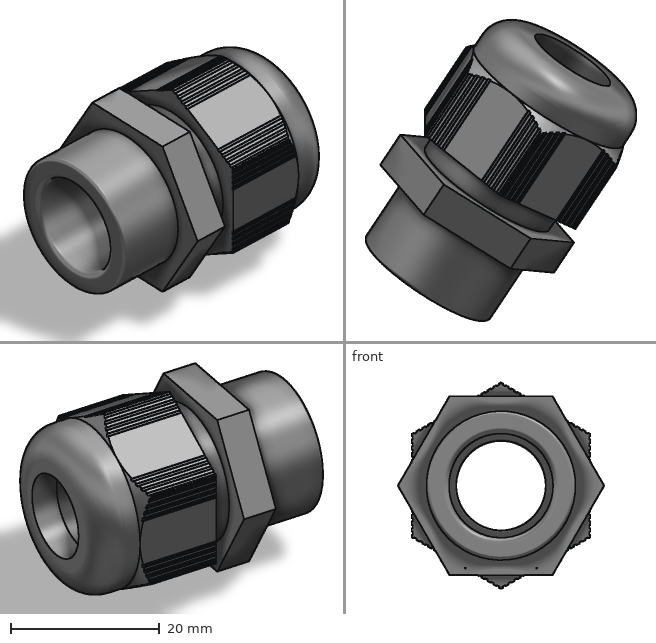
import cadquery as cq
import math

total_length = 36.23
hex_across_corners = 27.7
hex_across_flats = hex_across_corners * math.cos(math.radians(30))

body_diameter = 20.0
bore_diameter = 14.0
bore_mouth_radius = 0.75
body_end_radius = 0.5
collar_start = 10.0
collar_length = 5.0

nut_length = 18.0
nut_start = total_length - nut_length
hex_end = 30.2
dome_radius = 4.0
nut_wall = 4.0
nut_hole_diameter = 12.0
hole_edge_radius = 0.25

groove_width = 0.4
groove_depth = 0.15
groove_pitch = 0.9
first_groove_offset = 3.7
grooves_per_side = 4

body_length = total_length - nut_wall

smallest_radius = cq.selectors.RadiusNthSelector(0)
largest_radius = cq.selectors.RadiusNthSelector(-1)


def section(y):
    """Sketch plane across the axis at height y, extruding toward +Y."""
    return cq.Workplane("XZ", origin=(0, y, 0)).transformed(rotate=(180, 0, 0))


def rod(diameter, start, end):
    """Cylinder along the axis between two heights."""
    return section(start).circle(diameter / 2).extrude(end - start)


def turned(solid, angle):
    """The solid turned about the gland axis."""
    return solid.rotate((0, 0, 0), (0, 1, 0), angle)


def make_body():
    """Round tube with a hexagon collar and rounded edges at its free end."""
    tube = rod(body_diameter, 0, body_length).faces("<Y").edges().fillet(body_end_radius)
    collar = section(collar_start).polygon(6, hex_across_corners).extrude(collar_length)
    bore = rod(bore_diameter, 0, body_length)
    body = tube.union(collar).cut(bore)
    return body.faces("<Y").edges(smallest_radius).fillet(bore_mouth_radius)


def make_flat_grooves():
    """Groove cutters of the +X flat: two mirrored groups, one near each corner."""
    offsets = [first_groove_offset + i * groove_pitch for i in range(grooves_per_side)]
    centres = [(hex_across_flats / 2, side * offset) for side in (-1, 1) for offset in offsets]
    return (
        section(nut_start)
        .pushPoints(centres)
        .rect(2 * groove_depth, groove_width)
        .extrude(hex_end - nut_start)
    )


def make_bevel_envelope():
    """Cylinder with a 45 degree cone that bevels the upper corners of the nut's hexagon."""
    flat_radius = hex_across_flats / 2
    corner_radius = hex_across_corners / 2
    bevel_size = corner_radius - flat_radius
    return rod(hex_across_corners, nut_start, hex_end).faces(">Y").edges().chamfer(bevel_size)


def make_grip():
    """Bevelled and grooved hexagon with corners pointing to +Z and -Z."""
    grip = turned(section(nut_start).polygon(6, hex_across_corners).extrude(hex_end - nut_start), 30)
    flat_grooves = make_flat_grooves()
    for i in range(6):
        grip = grip.cut(turned(flat_grooves, 60 * i))
    return grip.intersect(make_bevel_envelope())


def make_nut():
    """Grip with a domed end, a socket for the body and a round-edged cable hole."""
    cap = rod(hex_across_flats, hex_end, total_length)
    socket = rod(body_diameter, nut_start, body_length)
    hole = rod(nut_hole_diameter, nut_start, total_length)
    nut = make_grip().union(cap).cut(socket).cut(hole)
    nut = nut.edges("%CIRCLE").edges(smallest_radius).edges("<Y").fillet(hole_edge_radius)
    return nut.faces(">Y").edges(largest_radius).fillet(dome_radius)


body = make_body()
nut = make_nut()
result = cq.Compound.makeCompound([body.solids().val(), nut.solids().val()])